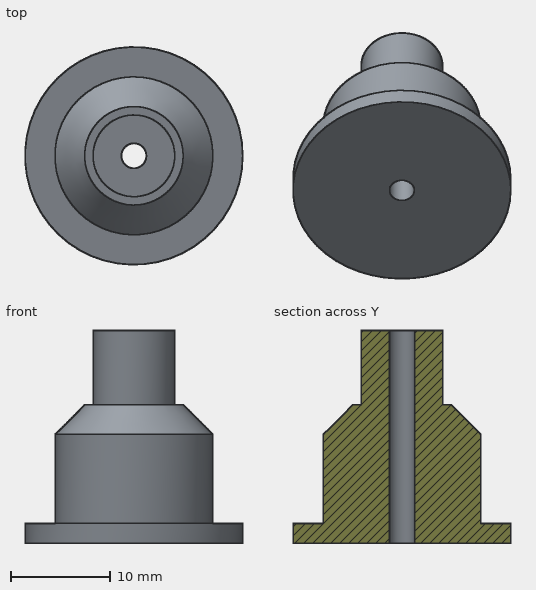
import cadquery as cq

flange_diameter = 22.0
flange_thickness = 2.0
body_diameter = 15.95
shoulder_height = 14.0
shoulder_chamfer = 3.0
spigot_diameter = 8.25
total_height = 21.5
bore_diameter = 2.5


def cylinder(diameter, height):
    """Solid cylinder on the Z axis, standing on the base plane."""
    return cq.Workplane("XY").circle(diameter / 2).extrude(height)


flange = cylinder(flange_diameter, flange_thickness)

body = cylinder(body_diameter, shoulder_height).faces(">Z").edges().chamfer(shoulder_chamfer)

spigot = cylinder(spigot_diameter, total_height)

bore = cylinder(bore_diameter, total_height)

result = flange.union(body).union(spigot).cut(bore)